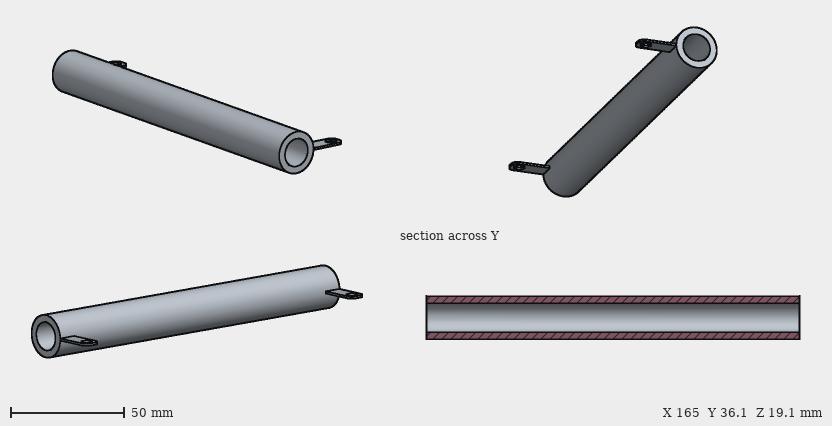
import cadquery as cq

tube_length = 165.0
tube_diameter = 19.1
bore_diameter = 12.7
tube_radius = tube_diameter / 2

overall_depth = 36.1
lug_width = 8.2
lug_thickness = 1.0
lug_corner_radius = 3.0
lug_hole_diameter = 5.0
lug_tip_y = overall_depth - tube_radius
lug_hole_y = lug_tip_y - lug_width / 2
lug_centre_x = (tube_length - lug_width) / 2


def make_tube():
    """Plain round tube with a through bore, centred on the origin."""
    return (
        cq.Workplane("YZ", origin=(-tube_length / 2, 0, 0))
        .circle(tube_radius)
        .circle(bore_diameter / 2)
        .extrude(tube_length)
    )


def make_lug(centre_x):
    """Flat lug with rounded tip corners, whose root follows the outer surface of the tube."""
    blank = (
        cq.Workplane("XY", origin=(centre_x, lug_tip_y / 2, -lug_thickness / 2))
        .rect(lug_width, lug_tip_y)
        .extrude(lug_thickness)
        .edges("|Z and >Y")
        .fillet(lug_corner_radius)
    )
    hole = (
        cq.Workplane("XY", origin=(centre_x, lug_hole_y, -lug_thickness / 2))
        .circle(lug_hole_diameter / 2)
        .extrude(lug_thickness)
    )
    tube_envelope = (
        cq.Workplane("YZ", origin=(-tube_length / 2, 0, 0))
        .circle(tube_radius)
        .extrude(tube_length)
    )
    return blank.cut(hole).cut(tube_envelope)


tube = make_tube()
lugs = [make_lug(side * lug_centre_x) for side in (-1, 1)]

result = cq.Compound.makeCompound([tube.val(), *[lug.solids().val() for lug in lugs]])